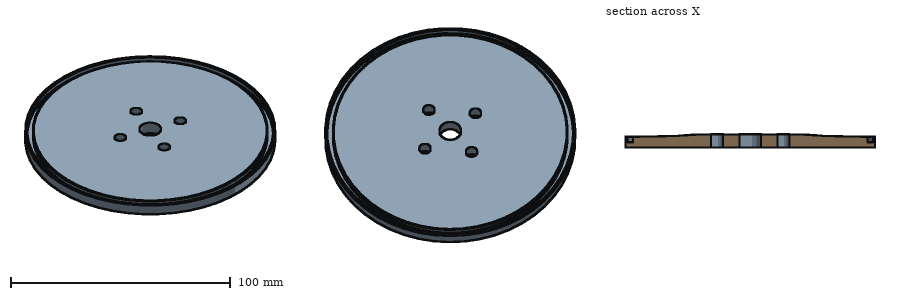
import cadquery as cq

disc_diameter = 114.0
rim_height = 5.0
hub_height = 6.0
hub_diameter = 47.0
flare_diameter = 101.7

groove_outer_diameter = 112.0
groove_inner_diameter = 107.0
groove_depth = 2.5
lip_bevel_width = 0.5
lip_bevel_height = 0.2

bore_diameter = 9.8
bolt_hole_diameter = 5.2
bolt_circle_radius = 15.0
bolt_count = 4


def disc_body():
    """Revolve the half section: flat hub, concave flare, lip, groove and rim."""
    groove_floor = rim_height - groove_depth
    groove_inner_radius = groove_inner_diameter / 2
    groove_outer_radius = groove_outer_diameter / 2
    section = (
        cq.Workplane("XZ")
        .moveTo(0, 0)
        .lineTo(disc_diameter / 2, 0)
        .lineTo(disc_diameter / 2, rim_height)
        .lineTo(groove_outer_radius, rim_height)
        .lineTo(groove_outer_radius, groove_floor)
        .lineTo(groove_inner_radius, groove_floor)
        .lineTo(groove_inner_radius, rim_height - lip_bevel_height)
        .lineTo(groove_inner_radius - lip_bevel_width, rim_height)
        .lineTo(flare_diameter / 2, rim_height)
        .tangentArcPoint((hub_diameter / 2, hub_height), relative=False)
        .lineTo(0, hub_height)
        .close()
    )
    return section.revolve(360, (0, 0, 0), (0, 1, 0))


def through_holes():
    """Central bore and the ring of bolt holes, as cutting cylinders."""
    bore = cq.Workplane("XY").circle(bore_diameter / 2).extrude(hub_height)
    bolts = (
        cq.Workplane("XY")
        .polarArray(bolt_circle_radius, 0, 360, bolt_count)
        .circle(bolt_hole_diameter / 2)
        .extrude(hub_height)
    )
    return bore.union(bolts)


result = disc_body().cut(through_holes())